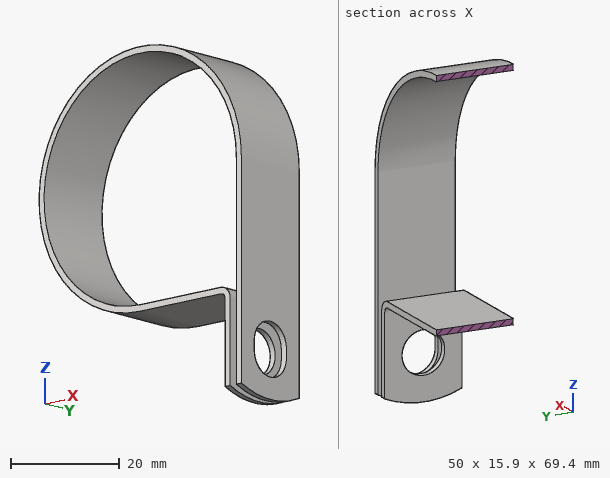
import cadquery as cq
import math

total_height = 69.4
loop_diameter = 50.05
strip_width = 15.9
thickness = 1.25
tab_gap = 1.5
bend_inner_radius = 1.1
hole_diameter = 8.75
slot_length = 10.55
hole_height = 9.5
end_radius = 19.8

outer_radius = loop_diameter / 2
inner_radius = outer_radius - thickness
bend_outer_radius = bend_inner_radius + thickness
tab_bottom = outer_radius - total_height
inner_tab_right = inner_radius - tab_gap
gap_middle = inner_radius - tab_gap / 2
inner_tab_left = inner_tab_right - thickness


def bent_strip():
    """Band profile: long tab, three-quarter loop, ledge, bend and short tab."""
    outer_diagonal = outer_radius * math.sqrt(0.5)
    inner_diagonal = inner_radius * math.sqrt(0.5)
    ledge_end = inner_tab_right - bend_outer_radius
    bend_start = -outer_radius - bend_inner_radius
    profile = (
        cq.Workplane("XZ", origin=(0, strip_width / 2, 0))
        .moveTo(outer_radius, tab_bottom)
        .lineTo(outer_radius, 0)
        .threePointArc((-outer_diagonal, outer_diagonal), (0, -outer_radius))
        .lineTo(ledge_end, -outer_radius)
        .radiusArc((inner_tab_left, bend_start), bend_inner_radius)
        .lineTo(inner_tab_left, tab_bottom)
        .lineTo(inner_tab_right, tab_bottom)
        .lineTo(inner_tab_right, bend_start)
        .radiusArc((ledge_end, -inner_radius), -bend_outer_radius)
        .lineTo(0, -inner_radius)
        .threePointArc((-inner_diagonal, inner_diagonal), (inner_radius, 0))
        .lineTo(inner_radius, tab_bottom)
        .close()
    )
    return profile.extrude(strip_width)


def rounded_end_outline():
    """Side outline of the strip, bowed at the bottom of the tabs."""
    half_width = strip_width / 2
    end_sagitta = end_radius - math.sqrt(end_radius**2 - half_width**2)
    corner_height = tab_bottom + end_sagitta
    return (
        cq.Workplane("YZ")
        .moveTo(-half_width, loop_diameter)
        .lineTo(-half_width, corner_height)
        .threePointArc((0, tab_bottom), (half_width, corner_height))
        .lineTo(half_width, loop_diameter)
        .close()
        .extrude(loop_diameter, both=True)
    )


def bolt_hole():
    """Round hole through the inner tab, ending in the gap between the tabs."""
    return (
        cq.Workplane("YZ", origin=(0, 0, tab_bottom + hole_height))
        .circle(hole_diameter / 2)
        .extrude(gap_middle)
    )


def adjustment_slot():
    """Upright slot through the outer tab, in line with the bolt hole."""
    return (
        cq.Workplane("YZ", origin=(gap_middle, 0, tab_bottom + hole_height))
        .slot2D(slot_length, hole_diameter, 90)
        .extrude(outer_radius - gap_middle)
    )


result = (
    bent_strip()
    .intersect(rounded_end_outline())
    .cut(bolt_hole())
    .cut(adjustment_slot())
)